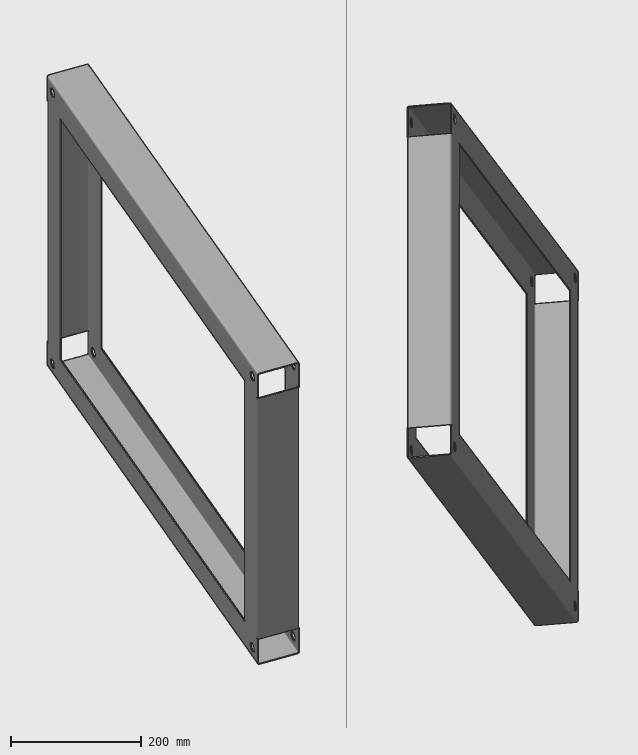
import cadquery as cq

LENGTH = 800.0
DEPTH = 70.0
HEIGHT = 573.0

SHEET = 2.0
BEND_RADIUS = 4.0
FLANGE = 50.0

HOLE_DIAMETER = 15.0
HOLE_INSET = 20.0

WINDOW_HEIGHT = HEIGHT - 2 * FLANGE


def channel(length):
    """C-channel along X, web on top at Z = 0 and flanges hanging down."""
    outer = (
        cq.Workplane("XY")
        .box(length, DEPTH, FLANGE, centered=(True, True, False))
        .translate((0, 0, -FLANGE))
        .edges("|X and >Z")
        .fillet(BEND_RADIUS)
    )
    inner = (
        cq.Workplane("XY")
        .box(length, DEPTH - 2 * SHEET, FLANGE, centered=(True, True, False))
        .translate((0, 0, -FLANGE - SHEET))
        .edges("|X and >Z")
        .fillet(BEND_RADIUS - SHEET)
    )
    return outer.cut(inner)


def frame_member(length, distance, angle):
    """Channel with its web facing outward, turned about Y around the frame centre."""
    return channel(length).translate((0, 0, distance)).rotate((0, 0, 0), (0, 1, 0), angle)


frame = frame_member(LENGTH, HEIGHT / 2, 0)
frame = frame.union(frame_member(WINDOW_HEIGHT, LENGTH / 2, 90))
frame = frame.union(frame_member(LENGTH, HEIGHT / 2, 180))
frame = frame.union(frame_member(WINDOW_HEIGHT, LENGTH / 2, 270))

corner_holes = (
    cq.Workplane("XZ")
    .rect(LENGTH - 2 * HOLE_INSET, HEIGHT - 2 * HOLE_INSET, forConstruction=True)
    .vertices()
    .circle(HOLE_DIAMETER / 2)
    .extrude(DEPTH / 2, both=True)
)

result = frame.cut(corner_holes).clean()